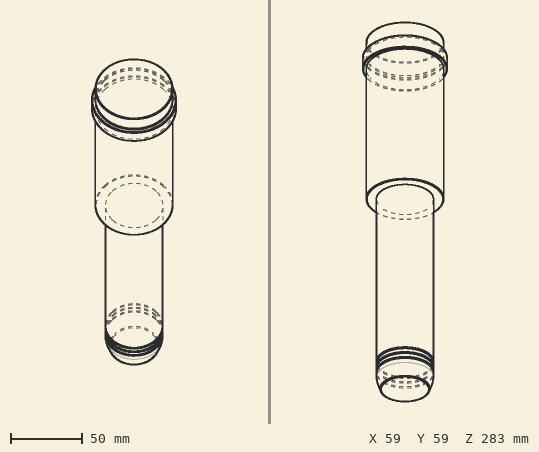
import cadquery as cq

total_length = 283.0

flange_diameter = 59.0
body_diameter = 54.0
neck_diameter = 53.8
shaft_diameter = 40.0
nose_diameter = 34.2

nose_length = 10.0
shaft_end_z = 154.8
flange_thickness = 10.0
head_length = 12.2
neck_length = 1.5

nose_bulge = 0.42

edge_chamfer = 0.5

groove_count = 3
groove_pitch = 4.0
groove_width = 1.0
groove_depth = 0.15
first_groove_z = 13.3

flange_top_z = total_length - head_length
flange_bottom_z = flange_top_z - flange_thickness


def make_cylinder(diameter, bottom_z, top_z):
    """Solid cylinder on the Z axis between two heights."""
    return cq.Workplane("XY").workplane(offset=bottom_z).circle(diameter / 2).extrude(top_z - bottom_z)


def cut_ring(part, bottom_diameter, bottom_z, width):
    """Turn a square groove down to bottom_diameter."""
    top_z = bottom_z + width
    ring = make_cylinder(flange_diameter, bottom_z, top_z).cut(make_cylinder(bottom_diameter, bottom_z, top_z))
    return part.cut(ring)


def make_nose():
    """Slightly bowed nose that widens from its flat end to the shaft."""
    mid_radius = (nose_diameter + shaft_diameter) / 4 + nose_bulge
    nose = (
        cq.Workplane("XZ")
        .lineTo(nose_diameter / 2, 0)
        .threePointArc((mid_radius, nose_length / 2), (shaft_diameter / 2, nose_length))
        .lineTo(0, nose_length)
        .close()
        .revolve(360, (0, 0), (0, 1))
    )
    return nose.faces("<Z").edges().chamfer(edge_chamfer)


def make_shaft():
    """Slender shaft with evenly spaced ring grooves near the nose."""
    shaft = make_cylinder(shaft_diameter, nose_length, shaft_end_z)
    for index in range(groove_count):
        groove_z = first_groove_z + index * groove_pitch
        shaft = cut_ring(shaft, shaft_diameter - 2 * groove_depth, groove_z, groove_width)
    return shaft


def make_body():
    """Thick body with broken ends and an undercut neck above the flange."""
    body = make_cylinder(body_diameter, shaft_end_z, total_length)
    body = body.faces("<Z").edges().chamfer(edge_chamfer)
    body = body.faces(">Z").edges().chamfer(edge_chamfer)
    return cut_ring(body, neck_diameter, flange_top_z, neck_length)


def make_flange():
    """Collar around the body, just below the neck."""
    flange = make_cylinder(flange_diameter, flange_bottom_z, flange_top_z)
    return flange.edges().chamfer(edge_chamfer)


result = make_nose().union(make_shaft()).union(make_body()).union(make_flange())